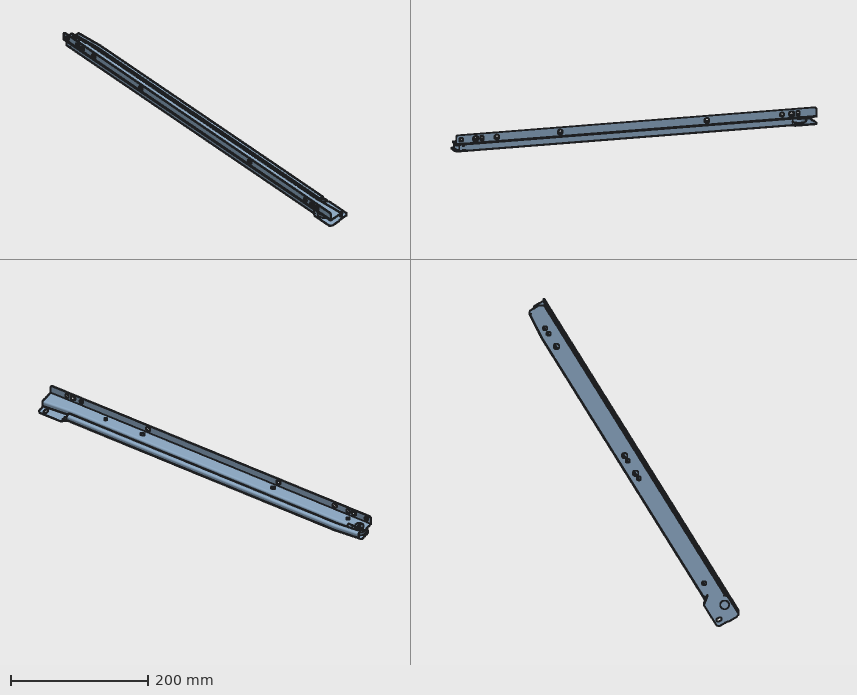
import cadquery as cq
import math

SHEET = 1.2
BEND = 3.0
RAIL_LENGTH = 550.0

RAIL_DEPTH = 10.6
LOW_WALL_Y = 1.7
HIGH_WALL_Y = 31.7
EDGE_REACH = 0.5
LIP_WIDTH = 7.4
CHANNEL_END = 503.0
LOW_WALL_END = 513.0
TAPER_LENGTH = 45.0
TAPER_SLOPE = 0.088
REAR_CORNER = 3.5
LOW_CORNER_X = 5.0
LOW_CORNER_Y = 7.0

REAR_WALL_Y = HIGH_WALL_Y - TAPER_SLOPE * (TAPER_LENGTH - REAR_CORNER)

PLATE_START = CHANNEL_END - 4.0
FRONT_X = 549.0
TONGUE_Y = 36.65
TONGUE_FOOT_X = CHANNEL_END
TONGUE_TOP_X = 510.0
TONGUE_CORNER = 3.0
BULGE_START = 515.0
NOSE_LOW_Y = 4.0
NOSE_HIGH_Y = 18.0
NOSE_CORNER = 1.0
TONGUE_HOLE = (540.0, 29.0)
TONGUE_HOLE_WIDTH = 5.0
TONGUE_HOLE_LENGTH = 8.0
GUSSET_HEIGHT = 6.6
GUSSET_TIP_HEIGHT = 2.6
GUSSET_INNER = (499.6, 24.6)
GUSSET_OUTER = (507.8, 35.1)

MOUNT_HOLE_Y = 19.0
MOUNT_ROUND_X = (66.0, 258.0, 289.0)
MOUNT_SMALL_X = (34.0, 44.0, 267.0, 298.0, 482.0)
MOUNT_ROUND_DIAMETER = 8.0
MOUNT_SMALL_DIAMETER = 6.0

FRONT_ROLLER = (525.5, 10.6)
FRONT_ROLLER_RADIUS = 10.0
FRONT_ROLLER_Z = 3.9
ROLLER_WIDTH = 5.8
HUB_RADIUS = 6.5

DRAWER_TOP = 12.4
LEG_TOP = 25.5
LEG_Y = 0.6
TRACK_Y = 20.9
TRACK_BOTTOM = 3.0
RAMP_START = 500.0
RAMP_RISE = 3.8
TRACK_START = 28.0
LEG_CORNER = 3.2
LEG_HOLE_Z = 18.5
LEG_SMALL_X = (7.8, 496.5)
LEG_ROUND_X = (62.0, 158.6, 382.0)
LEG_SUNK_X = (29.6, 511.0)
LEG_SLOT_X = (39.2, 520.8)
LEG_SMALL_DIAMETER = 6.0
LEG_ROUND_DIAMETER = 7.2
SUNK_DIAMETER = 8.6
SUNK_HOLE = 6.0
LEG_SLOT_WIDTH = 5.0
LEG_SLOT_HEIGHT = 7.5
WEB_HOLE_Y = 8.5
WEB_ROUND_X = (34.6, 450.0)
WEB_SLOT_X = (163.0, 387.0)
WEB_HOLE_DIAMETER = 5.0
WEB_SLOT_LENGTH = 6.8

REAR_ROLLER = (12.0, 13.8)
REAR_ROLLER_RADIUS = 10.5
REAR_ROLLER_Z = 2.4
RIVET_RADIUS = 6.2
RIVET_DIMPLE_RADIUS = 2.0
RIVET_DIMPLE_DEPTH = 0.6
WEB_BOTTOM = DRAWER_TOP - SHEET
RIVET_SINK = 0.4


def channel_outline(inset):
    """Plan of the channel, moved inward by inset, with the dipped rear end."""
    return [
        (LOW_CORNER_X, LOW_WALL_Y + inset),
        (LOW_WALL_END, LOW_WALL_Y + inset),
        (LOW_WALL_END, HIGH_WALL_Y - inset),
        (TAPER_LENGTH, HIGH_WALL_Y - inset),
        (REAR_CORNER, REAR_WALL_Y - inset),
        (0, REAR_WALL_Y - REAR_CORNER),
        (0, LOW_WALL_Y + LOW_CORNER_Y),
    ]


def round_long_edges(block, inset, radius):
    """Round the bends along the straight walls of a channel block."""
    high = HIGH_WALL_Y - inset
    low = LOW_WALL_Y + inset
    edges = block.edges(cq.selectors.BoxSelector(
        (0, high - EDGE_REACH, -EDGE_REACH), (RAIL_LENGTH, high + EDGE_REACH, RAIL_DEPTH + EDGE_REACH)))
    block = edges.edges("|X").fillet(radius)
    edges = block.edges(cq.selectors.BoxSelector(
        (0, low - EDGE_REACH, -EDGE_REACH), (RAIL_LENGTH, low + EDGE_REACH, SHEET + EDGE_REACH)))
    return edges.edges("|X").fillet(radius)


def channel():
    outer = cq.Workplane("XY").polyline(channel_outline(0)).close()
    outer = round_long_edges(outer.extrude(RAIL_DEPTH), 0, BEND)
    inner = cq.Workplane("XY", origin=(0, 0, SHEET))
    inner = inner.polyline(channel_outline(SHEET)).close()
    inner = round_long_edges(inner.extrude(RAIL_DEPTH - 2 * SHEET), SHEET, BEND - SHEET)
    open_rear = cq.Workplane("XY", origin=(0, LOW_WALL_Y, SHEET))
    open_rear = open_rear.rect(LOW_CORNER_X, REAR_WALL_Y, centered=False).extrude(RAIL_DEPTH)
    mouth = cq.Workplane("XY", origin=(0, 0, SHEET)).polyline([
        (0, LOW_WALL_Y + SHEET),
        (LOW_WALL_END, LOW_WALL_Y + SHEET),
        (LOW_WALL_END, HIGH_WALL_Y - LIP_WIDTH),
        (TAPER_LENGTH, HIGH_WALL_Y - LIP_WIDTH),
        (0, HIGH_WALL_Y - LIP_WIDTH - TAPER_SLOPE * TAPER_LENGTH),
    ]).close().extrude(RAIL_DEPTH)
    upper_end = cq.Workplane("XY", origin=(CHANNEL_END, LOW_WALL_Y + BEND, 0))
    upper_end = upper_end.rect(LOW_WALL_END - CHANNEL_END, HIGH_WALL_Y, centered=False).extrude(RAIL_DEPTH)
    return outer.cut(inner).cut(open_rear).cut(mouth).cut(upper_end)


def front_plate():
    """Flat plate with the raised mounting tongue, in front of the channel."""
    plate = cq.Workplane("XY").polyline([
        (PLATE_START, LOW_WALL_Y + BEND),
        (LOW_WALL_END, LOW_WALL_Y + BEND),
        (LOW_WALL_END, LOW_WALL_Y),
        (BULGE_START, LOW_WALL_Y),
        (BULGE_START + NOSE_CORNER, 0),
        (FRONT_X - NOSE_CORNER, 0),
        (FRONT_X, NOSE_LOW_Y - NOSE_CORNER),
        (RAIL_LENGTH, NOSE_LOW_Y),
        (RAIL_LENGTH, NOSE_HIGH_Y),
        (FRONT_X, NOSE_HIGH_Y + NOSE_CORNER),
        (FRONT_X, TONGUE_Y - TONGUE_CORNER),
        (FRONT_X - TONGUE_CORNER, TONGUE_Y),
        (TONGUE_TOP_X, TONGUE_Y),
        (TONGUE_FOOT_X, HIGH_WALL_Y - SHEET),
        (PLATE_START, HIGH_WALL_Y - BEND),
    ]).close().extrude(SHEET)
    hole = cq.Workplane("XY").center(*TONGUE_HOLE)
    hole = hole.slot2D(TONGUE_HOLE_LENGTH, TONGUE_HOLE_WIDTH, 90).extrude(SHEET)
    return plate.cut(hole)


def gusset():
    """Slanted end wall that closes the upper channel and fades out along the tongue's edge."""
    run_x = GUSSET_OUTER[0] - GUSSET_INNER[0]
    run_y = GUSSET_OUTER[1] - GUSSET_INNER[1]
    length = math.hypot(run_x, run_y)
    level_length = length * (HIGH_WALL_Y - GUSSET_INNER[1]) / run_y
    plane = cq.Plane(origin=(*GUSSET_INNER, 0), xDir=(run_x, run_y, 0), normal=(run_y, -run_x, 0))
    side = cq.Workplane(plane).polyline([
        (0, 0),
        (length, 0),
        (length, GUSSET_TIP_HEIGHT),
        (level_length, GUSSET_HEIGHT),
        (0, GUSSET_HEIGHT),
    ])
    return side.close().extrude(SHEET)


def roller(center, radius, bottom, hub_bottom, hub_top):
    wheel = cq.Workplane("XY", origin=(*center, bottom)).circle(radius).extrude(ROLLER_WIDTH)
    hub = cq.Workplane("XY", origin=(*center, hub_bottom)).circle(HUB_RADIUS)
    return wheel.union(hub.extrude(hub_top - hub_bottom))


def cabinet_rail():
    rail = channel().union(front_plate()).union(gusset())
    for stations, diameter in (
        (MOUNT_ROUND_X, MOUNT_ROUND_DIAMETER),
        (MOUNT_SMALL_X, MOUNT_SMALL_DIAMETER),
    ):
        points = [(x, MOUNT_HOLE_Y) for x in stations]
        rail = rail.cut(cq.Workplane("XY").pushPoints(points).circle(diameter / 2).extrude(SHEET))
    wheel_top = FRONT_ROLLER_Z + ROLLER_WIDTH
    return rail.union(roller(FRONT_ROLLER, FRONT_ROLLER_RADIUS, FRONT_ROLLER_Z, 0, wheel_top))


def draw_section(sketch, rise):
    """Bent section in the YZ plane: leg, web and a track wall lifted in Y by rise."""
    track = TRACK_Y + rise
    bend_y = track - BEND
    bend_z = DRAWER_TOP - BEND
    inner_mid = (BEND - SHEET) * math.sqrt(0.5)
    outer_mid = BEND * math.sqrt(0.5)
    sketch = sketch.moveTo(LEG_Y, WEB_BOTTOM).lineTo(bend_y, WEB_BOTTOM)
    sketch = sketch.threePointArc((bend_y + inner_mid, bend_z + inner_mid), (track - SHEET, bend_z))
    sketch = sketch.lineTo(track - SHEET, TRACK_BOTTOM).lineTo(track, TRACK_BOTTOM).lineTo(track, bend_z)
    sketch = sketch.threePointArc((bend_y + outer_mid, bend_z + outer_mid), (bend_y, DRAWER_TOP))
    sketch = sketch.lineTo(LEG_Y + SHEET, DRAWER_TOP).lineTo(LEG_Y + SHEET, LEG_TOP)
    return sketch.lineTo(LEG_Y, LEG_TOP).close()


def drawer_profile():
    straight = draw_section(cq.Workplane("YZ"), 0).extrude(RAMP_START)
    ramp = draw_section(cq.Workplane("YZ", origin=(RAMP_START, 0, 0)), 0)
    ramp = draw_section(ramp.workplane(offset=FRONT_X - RAMP_START), RAMP_RISE)
    return straight.union(ramp.loft(ruled=True, combine=True))


def leg_cutters():
    """Holes through the leg, all on one line."""
    leg_face = cq.Plane.XZ((0, LEG_Y, LEG_HOLE_Z))
    cutters = []
    for stations, diameter in (
        (LEG_SMALL_X, LEG_SMALL_DIAMETER),
        (LEG_ROUND_X, LEG_ROUND_DIAMETER),
    ):
        rounds = cq.Workplane(leg_face).pushPoints([(x, 0) for x in stations])
        cutters.append(rounds.circle(diameter / 2).extrude(-SHEET))
    slots = cq.Workplane(leg_face).pushPoints([(x, 0) for x in LEG_SLOT_X])
    cutters.append(slots.slot2D(LEG_SLOT_HEIGHT, LEG_SLOT_WIDTH, 90).extrude(-SHEET))
    for x in LEG_SUNK_X:
        cone = cq.Solid.makeCone(
            SUNK_DIAMETER / 2, SUNK_HOLE / 2, SHEET,
            pnt=cq.Vector(x, LEG_Y, LEG_HOLE_Z), dir=cq.Vector(0, 1, 0))
        cutters.append(cq.Workplane(cone))
    return cutters


def web_cutters():
    """Screw holes through the web."""
    web_face = cq.Plane.XY((0, WEB_HOLE_Y, WEB_BOTTOM))
    rounds = cq.Workplane(web_face).pushPoints([(x, 0) for x in WEB_ROUND_X])
    slots = cq.Workplane(web_face).pushPoints([(x, 0) for x in WEB_SLOT_X])
    return [
        rounds.circle(WEB_HOLE_DIAMETER / 2).extrude(SHEET),
        slots.slot2D(WEB_SLOT_LENGTH, WEB_HOLE_DIAMETER).extrude(SHEET),
    ]


def drawer_rail():
    rail = drawer_profile()
    track_relief = cq.Workplane("XY", origin=(0, TRACK_Y - BEND, 0))
    rail = rail.cut(track_relief.rect(TRACK_START, BEND, centered=False).extrude(DRAWER_TOP))
    envelope = cq.Workplane("XZ").rect(FRONT_X, LEG_TOP, centered=False).extrude(-2 * TRACK_Y)
    envelope = envelope.edges("|Y and >Z").fillet(LEG_CORNER)
    rail = rail.intersect(envelope)
    for cutter in leg_cutters() + web_cutters():
        rail = rail.cut(cutter)
    pad = cq.Workplane("XY", origin=(*REAR_ROLLER, DRAWER_TOP - RIVET_SINK)).circle(RIVET_RADIUS)
    dimple = cq.Workplane("XY", origin=(*REAR_ROLLER, DRAWER_TOP - RIVET_DIMPLE_DEPTH))
    wheel = roller(REAR_ROLLER, REAR_ROLLER_RADIUS, REAR_ROLLER_Z, REAR_ROLLER_Z, WEB_BOTTOM)
    rail = rail.cut(pad.extrude(RIVET_SINK))
    rail = rail.cut(dimple.circle(RIVET_DIMPLE_RADIUS).extrude(RIVET_DIMPLE_DEPTH))
    return rail.union(wheel)


cabinet = cabinet_rail()
drawer = drawer_rail()
result = cq.Compound.makeCompound([cabinet.solids().val(), drawer.solids().val()])